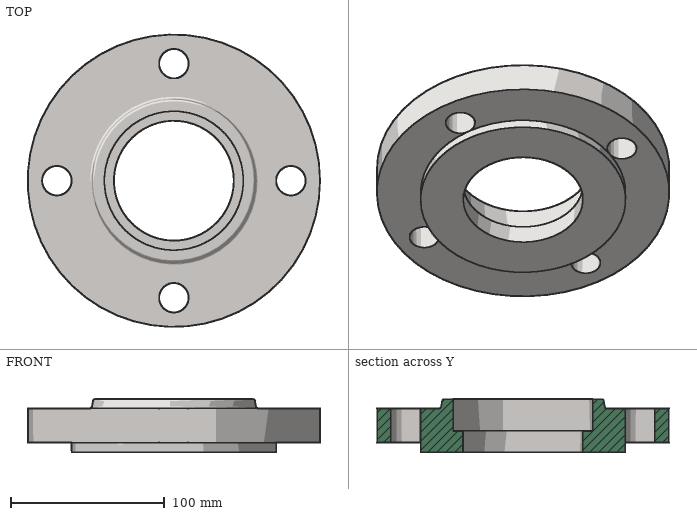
import cadquery as cq
import math

flange_diameter = 190.5
flange_thickness = 22.35

raised_face_diameter = 133.5
raised_face_height = 6.35

hub_base_diameter = 107.4
hub_height = 6.1
hub_taper_angle = 10.0
hub_edge_radius = 1.5

bore_diameter = 77.9
socket_diameter = 90.5
socket_depth = 20.8

bolt_hole_count = 4
bolt_hole_diameter = 19.05
bolt_circle_diameter = 152.4

disc_bottom = raised_face_height
disc_top = disc_bottom + flange_thickness
hub_top = disc_top + hub_height


def cylinder(diameter, bottom, top):
    """Upright cylinder on the Z axis between two heights."""
    return cq.Workplane("XY").workplane(offset=bottom).circle(diameter / 2).extrude(top - bottom)


def make_flange_with_hub():
    """Disc with its tapered hub, rounded at the hub's root and top edge."""
    hub_base_radius = hub_base_diameter / 2
    hub_top_radius = hub_base_radius - hub_height * math.tan(math.radians(hub_taper_angle))
    profile = (
        cq.Workplane("XZ")
        .moveTo(0, disc_bottom)
        .lineTo(flange_diameter / 2, disc_bottom)
        .lineTo(flange_diameter / 2, disc_top)
        .lineTo(hub_base_radius, disc_top)
        .lineTo(hub_top_radius, hub_top)
        .lineTo(0, hub_top)
        .close()
    )
    body = profile.revolve(360, (0, 0, 0), (0, 1, 0))
    root_edge = cq.selectors.RadiusNthSelector(1)
    top_edge = cq.selectors.RadiusNthSelector(0)
    body = body.edges(root_edge).fillet(hub_edge_radius)
    return body.faces(">Z").edges(top_edge).fillet(hub_edge_radius)


def cut_stepped_bore(body):
    """Pipe socket from the hub side, with a narrower bore right through."""
    bore = cylinder(bore_diameter, 0, hub_top)
    socket = cylinder(socket_diameter, hub_top - socket_depth, hub_top)
    return body.cut(bore).cut(socket)


def cut_bolt_holes(body):
    """Through holes evenly spaced on the bolt circle, the first on +X."""
    holes = (
        cq.Workplane("XY")
        .workplane(offset=disc_bottom)
        .polarArray(bolt_circle_diameter / 2, 0, 360, bolt_hole_count)
        .circle(bolt_hole_diameter / 2)
        .extrude(flange_thickness)
    )
    return body.cut(holes)


flange = make_flange_with_hub()
flange = flange.union(cylinder(raised_face_diameter, 0, disc_bottom))
flange = cut_stepped_bore(flange)
result = cut_bolt_holes(flange)